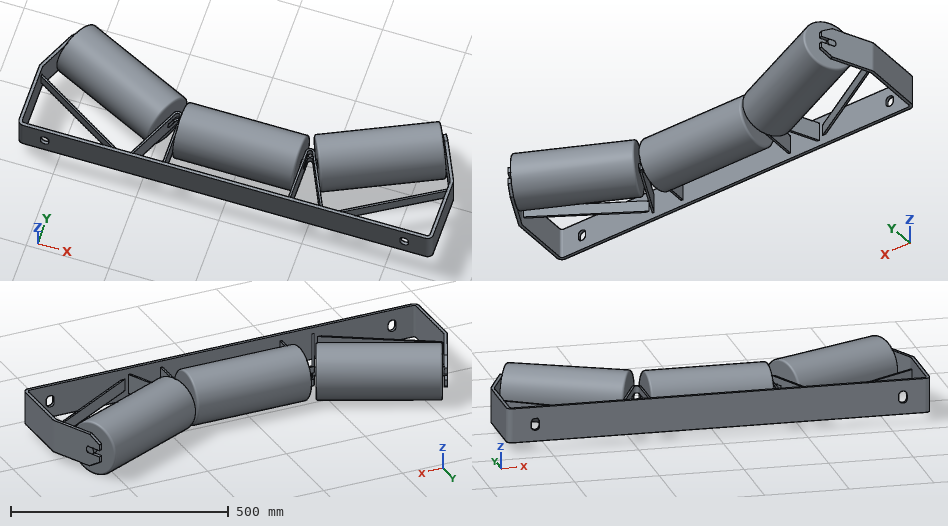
import cadquery as cq
import math


frame_length = 1000.0
frame_width = 82.0
frame_thickness = 8.0
frame_bend_radius = 14.0
side_height = 165.0
arm_length = 137.0
tilt = 25.0
tip_chamfer_along = 29.0
tip_chamfer_across = 18.0

mount_spacing = 868.0
mount_slot_width = 20.0
mount_slot_length = 29.0

roller_diameter = 133.0
roller_length = 290.0
roller_edge_radius = 5.0
roller_gap = 4.0
axle_diameter = 21.0
axle_flat_width = 16.0
axle_to_arm_tip = 28.0
middle_roller_height = 124.0

bracket_width = 50.0
bracket_thickness = 5.0
bracket_bend_radius = 11.0

strut_width = 30.0
strut_thickness = 5.0
strut_angle = 31.2
strut_side_height = 158.0

cutter_reach = 10.0
slot_cutter_height = 60.0

tilt_sin = math.sin(math.radians(tilt))
tilt_cos = math.cos(math.radians(tilt))
half_length = frame_length / 2
frame_inner_radius = frame_bend_radius - frame_thickness
bracket_inner_radius = bracket_bend_radius - bracket_thickness


def left_arm_point(along, inward):
    """Point at a distance along the left arm from its outer bend, and inward from its outer face."""
    x = -half_length + along * tilt_sin + inward * tilt_cos
    y = side_height + along * tilt_cos - inward * tilt_sin
    return x, y


axle_along = arm_length - axle_to_arm_tip
left_roller_inward = frame_thickness + roller_gap + roller_length / 2
leaning_face_inward = frame_thickness + roller_length + 2 * roller_gap
upright_face_x = -roller_length / 2 - roller_gap


def plate(points, width):
    """Plate with the given outline in XY, centred on Z = 0."""
    return cq.Workplane("XY").polyline(points).close().extrude(width / 2, both=True)


def placed(body, point, angle):
    """Body turned about Z and then moved to a point in XY."""
    return body.rotate((0, 0, 0), (0, 0, 1), angle).translate((point[0], point[1], 0))


def mirrored(body):
    """Copy of a body on the other side of X = 0."""
    return body.mirror("YZ")


def rod(diameter, start, end):
    """Round bar along X."""
    return cq.Workplane("YZ").workplane(offset=start).circle(diameter / 2).extrude(end - start)


def flatted_rod(start, end):
    """Axle bar along X with two flats facing +Z and -Z."""
    flats = (
        cq.Workplane("XY").box(end - start, axle_diameter, axle_flat_width)
        .translate(((start + end) / 2, 0, 0))
    )
    return rod(axle_diameter, start, end).intersect(flats)


def axle_slot_cutter():
    """Cutter for an open-topped slot around an axle along X at the origin."""
    rest = flatted_rod(-cutter_reach, cutter_reach)
    throat = (
        cq.Workplane("XY").box(2 * cutter_reach, slot_cutter_height, axle_flat_width)
        .translate((0, slot_cutter_height / 2, 0))
    )
    return rest.union(throat)


def frame_path(inset):
    """Arm tip, side bend and base corner on the left, at a depth below the bar's outer face."""
    bend_drop = inset * math.tan(math.radians(tilt / 2))
    return [
        left_arm_point(arm_length, inset),
        (-half_length + inset, side_height - bend_drop),
        (-half_length + inset, inset),
    ]


def round_bends(bar, bends, radius):
    """Round the bar's edges along Z at the given left bends and at their mirror images."""
    for x, y in bends:
        for bend_x in (x, -x):
            bar = bar.edges("|Z").edges(cq.selectors.NearestToPointSelector((bend_x, y, 0))).fillet(radius)
    return bar


def arm_tip_cutter():
    """Cutter for the two sloped corners at the tip of an arm that stands along +Y at the origin."""
    shoulder = arm_length - tip_chamfer_along
    half_width = frame_width / 2
    corner = (
        cq.Workplane("YZ")
        .polyline([
            (arm_length, half_width),
            (shoulder, half_width),
            (arm_length, half_width - tip_chamfer_across),
        ])
        .close().extrude(cutter_reach, both=True)
    )
    return corner.union(corner.mirror("XY"))


def make_frame():
    outer = frame_path(0)
    inner = frame_path(frame_thickness)
    outer_right = [(-x, y) for x, y in reversed(outer)]
    inner_right = [(-x, y) for x, y in inner]
    bar = plate(outer + outer_right + inner_right + inner[::-1], frame_width)
    bar = round_bends(bar, outer[1:], frame_bend_radius)
    bar = round_bends(bar, inner[1:], frame_inner_radius)

    tip_corners = placed(arm_tip_cutter(), left_arm_point(0, 0), -tilt)
    axle_slot = placed(axle_slot_cutter(), left_arm_point(axle_along, 0), -tilt)
    for cutter in (tip_corners, axle_slot):
        bar = bar.cut(cutter).cut(mirrored(cutter))

    mount_slots = (
        cq.Workplane("XZ")
        .pushPoints([(-mount_spacing / 2, 0), (mount_spacing / 2, 0)])
        .slot2D(mount_slot_length, mount_slot_width, 90)
        .extrude(cutter_reach, both=True)
    )
    return bar.cut(mount_slots)


def make_roller(left_plate_thickness, right_plate_thickness):
    """Roller along X at the origin; its flatted axle ends are flush with the plates that hold it."""
    half = roller_length / 2
    drum = rod(roller_diameter, -half, half).faces("<X or >X").edges().fillet(roller_edge_radius)
    plate_face = half + roller_gap
    journals = rod(axle_diameter, -plate_face, plate_face)
    ends = flatted_rod(-plate_face - left_plate_thickness, plate_face + right_plate_thickness)
    return drum.union(journals).union(ends)


def bracket_wedge(inset, radius):
    """Left wedge between the outer faces of the two legs, moved in by the inset, with a round apex."""
    upright_x = upright_face_x - inset
    inward = leaning_face_inward + inset
    foot_y = frame_thickness
    foot_x = -half_length + (inward + (foot_y - side_height) * tilt_sin) / tilt_cos
    apex_y = foot_y + (upright_x - foot_x) * tilt_cos / tilt_sin
    wedge = plate([(foot_x, foot_y), (upright_x, foot_y), (upright_x, apex_y)], bracket_width)
    return wedge.edges("|Z").edges(">Y").fillet(radius)


def make_left_bracket():
    outside = bracket_wedge(0, bracket_bend_radius)
    inside = bracket_wedge(bracket_thickness, bracket_inner_radius)
    upright_slot = placed(axle_slot_cutter(), (upright_face_x, middle_roller_height), 0)
    leaning_slot = placed(
        axle_slot_cutter(), left_arm_point(axle_along, leaning_face_inward), -tilt
    )
    return outside.cut(inside).cut(upright_slot).cut(leaning_slot)


def make_left_strut():
    angle = math.radians(strut_angle)
    side_x = -half_length + frame_thickness
    foot_y = frame_thickness
    foot_x = side_x + (strut_side_height - foot_y) / math.tan(angle)
    side_cut = strut_thickness / math.cos(angle)
    foot_cut = strut_thickness / math.sin(angle)
    return plate([
        (side_x, strut_side_height),
        (foot_x, foot_y),
        (foot_x - foot_cut, foot_y),
        (side_x, strut_side_height - side_cut),
    ], strut_width)


frame = make_frame()
middle_roller = placed(
    make_roller(bracket_thickness, bracket_thickness), (0, middle_roller_height), 0
)
left_roller = placed(
    make_roller(frame_thickness, bracket_thickness),
    left_arm_point(axle_along, left_roller_inward),
    -tilt,
)

bodies = [frame.val().Solids()[0], middle_roller.val().Solids()[0]]
for left_body in (left_roller, make_left_bracket(), make_left_strut()):
    bodies.append(left_body.val().Solids()[0])
    bodies.append(mirrored(left_body).val().Solids()[0])

result = cq.Compound.makeCompound(bodies)